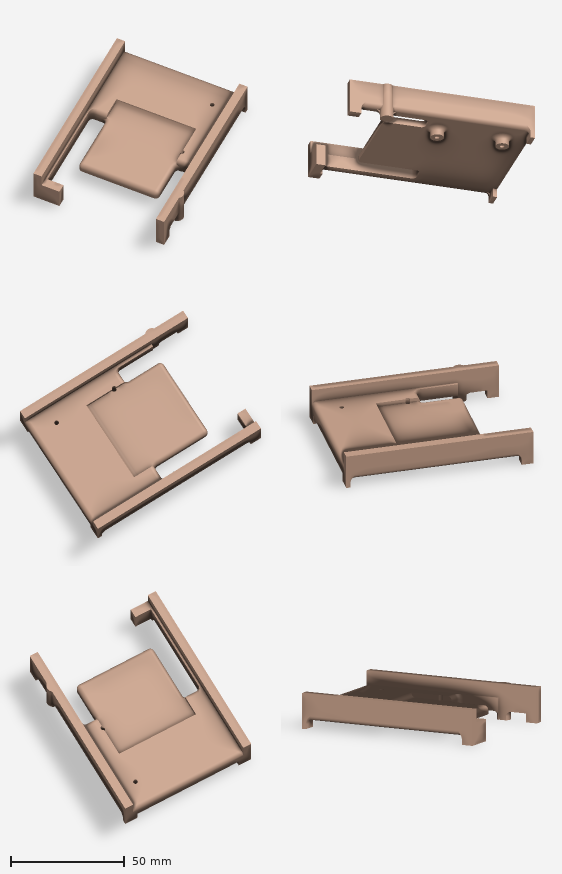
import cadquery as cq

length = 85.0
height = 16.0
width = 63.7
wall = 4.0
blend = wall / 2

plate_bottom = 2 * blend
plate_top = 9.95
floor_top = plate_top - blend

tongue_left = 12.7
tongue_right = 51.5
tongue_front = 18.95
pocket_back = 58.1

ledge_left = 4.85
ledge_right = 58.4
left_slot_end = 47.9
right_slot_end = 38.0

foot_depth = 4.2
front_post_depth = 5.3
back_post_depth = blend
back_post_width = 6.3
back_face = length - back_post_depth

boss_diameter = 6.0
boss_radius = boss_diameter / 2
hole_diameter = 2.0
boss_places = [(51.9, 73.4), (tongue_right, 43.7)]
pivot_reach = 64.8
pivot_x = pivot_reach - boss_radius
pivot_y = 17.4
right_wall_inner = width - wall


def block(x0, x1, y0, y1, z0, z1):
    """Box given by its limits along each axis."""
    return cq.Workplane("XY").box(x1 - x0, y1 - y0, z1 - z0, centered=False).translate((x0, y0, z0))


def near_line(direction, point):
    """Selector for the edges parallel to an axis that lie on the line through a point."""
    reach = 0.04
    low = [c - (length if a == direction else reach) for a, c in zip("XYZ", point)]
    high = [c + (length if a == direction else reach) for a, c in zip("XYZ", point)]
    return cq.selectors.BoxSelector(low, high) & cq.selectors.ParallelDirSelector(
        cq.Vector(*[float(a == direction) for a in "XYZ"])
    )


def flared_boss(x, y):
    """Round boss reaching the plate underside, with a concave flare at its root."""
    return (
        cq.Workplane("XZ")
        .lineTo(boss_radius, 0)
        .lineTo(boss_radius, plate_bottom - blend)
        .radiusArc((boss_radius + blend, plate_bottom), blend)
        .lineTo(0, plate_bottom)
        .close()
        .revolve(360, (0, 0), (0, 1))
        .translate((x, y, 0))
    )


def rounded_tongue():
    """Tongue reaching back under the pocket, with wings that form the inner slot corners."""
    wing = 1.5 * blend
    tongue = (
        cq.Workplane("XY", origin=(0, 0, plate_bottom))
        .moveTo(tongue_left, tongue_front)
        .lineTo(tongue_right, tongue_front)
        .lineTo(tongue_right, right_slot_end)
        .lineTo(tongue_right + wing, right_slot_end)
        .lineTo(tongue_right + wing, pocket_back)
        .lineTo(tongue_left - wing, pocket_back)
        .lineTo(tongue_left - wing, left_slot_end)
        .lineTo(tongue_left, left_slot_end)
        .close()
        .extrude(floor_top - plate_bottom)
    )
    for x, y in (tongue_left, left_slot_end), (tongue_right, right_slot_end):
        tongue = tongue.edges(near_line("Z", (x, y, floor_top))).fillet(blend)
    front_corners = near_line("Z", (tongue_left, tongue_front, 0)) + near_line(
        "Z", (tongue_right, tongue_front, 0)
    )
    rim = (
        near_line("X", (tongue_left, tongue_front, floor_top))
        + near_line("Y", (tongue_left, tongue_front, floor_top))
        + near_line("Y", (tongue_right, tongue_front, floor_top))
    )
    return tongue.edges(front_corners + rim).fillet(blend)


def corner_prism(plane, depth):
    """Straight fillet for an inside corner lying along the normal of a plane."""
    return (
        cq.Workplane(plane)
        .lineTo(blend, 0)
        .radiusArc((0, blend), blend)
        .close()
        .extrude(depth)
    )


def corner_flare(center, direction):
    """Trumpet-shaped fillet where a bar of rounded section meets a flat face, axis leaving the face."""
    up = cq.Vector(0, 0, 1)
    plane = cq.Plane(center, up, up.cross(cq.Vector(*direction)))
    return (
        cq.Workplane(plane)
        .lineTo(2 * blend, 0)
        .radiusArc((blend, blend), blend)
        .lineTo(0, blend)
        .close()
        .revolve(360, (0, 0), (0, 1))
    )


def left_wall(front_post_width):
    """Left wall between two end posts, with its lower outer edge rounded and flared into the posts."""
    beam = block(0, wall, 0, length, plate_bottom, height)
    beam = beam.edges("<X and <Z").fillet(blend)
    beam = beam.union(block(0, front_post_width, 0, front_post_depth, 0, plate_top))
    beam = beam.union(block(0, back_post_width, back_face, length, 0, plate_bottom + blend))
    for face, away in ((front_post_depth, 1), (back_face, -1)):
        flare = corner_flare((blend, face, plate_bottom + blend), (0, away, 0))
        beam = beam.union(flare.intersect(block(0, blend, 0, length, 0, plate_bottom + blend)))
    return beam


body = block(0, width, 0, length, plate_bottom, plate_top)
body = body.edges(near_line("X", (width / 2, length, plate_top))).fillet(blend)

body = body.cut(block(ledge_left, tongue_left, 0, left_slot_end, plate_bottom, plate_top))
body = body.cut(block(tongue_right, ledge_right, 0, right_slot_end, plate_bottom, plate_top))
body = body.cut(block(ledge_right, right_wall_inner, 0, tongue_front, plate_bottom, plate_top))

for x, y, away in ((ledge_left, left_slot_end, 1), (ledge_right, right_slot_end, -1)):
    body = body.edges(near_line("X", (x, y, plate_top))).fillet(blend)
    corner = cq.Plane((x, y, plate_bottom), (0, -1, 0) if away > 0 else (-1, 0, 0), (0, 0, 1))
    body = body.union(corner_prism(corner, floor_top - plate_bottom))
    flare = corner_flare((x, y + blend, floor_top), (away, 0, 0))
    body = body.union(flare.intersect(block(0, width, 0, y + blend, floor_top, plate_top)))
body = body.cut(block(tongue_left, tongue_right, 0, left_slot_end, plate_bottom, plate_top))

pocket = block(tongue_left, tongue_right, 0, pocket_back, floor_top, height)
body = body.cut(pocket.edges("|X and >Y and <Z").fillet(blend))
body = body.union(rounded_tongue())

right_wall = left_wall(wall).mirror("YZ").translate((width, 0, 0))
body = body.intersect(block(blend, width - blend, 0, length, 0, height))
body = body.union(left_wall(ledge_left)).union(right_wall)
body = body.union(block(0, tongue_left, 0, foot_depth, 0, plate_top))

outer_limit = width + boss_diameter
pivot_side = block(right_wall_inner, outer_limit, 0, tongue_front, 0, plate_top)
pivot_side = pivot_side.union(block(ledge_right, outer_limit, tongue_front, length, 0, plate_top))
pivot = cq.Workplane("XY").circle(boss_radius).extrude(height).translate((pivot_x, pivot_y, 0))
body = body.union(pivot.intersect(pivot_side))
body = body.union(pivot.intersect(block(right_wall_inner, outer_limit, 0, length, 0, height)))
pivot_root = pivot_side.intersect(block(0, width - blend, 0, length, 0, height))
body = body.union(flared_boss(pivot_x, pivot_y).intersect(pivot_root))

for x, y in boss_places:
    body = body.union(flared_boss(x, y))
    body = body.cut(cq.Workplane("XY").circle(hole_diameter / 2).extrude(height).translate((x, y, 0)))

result = body